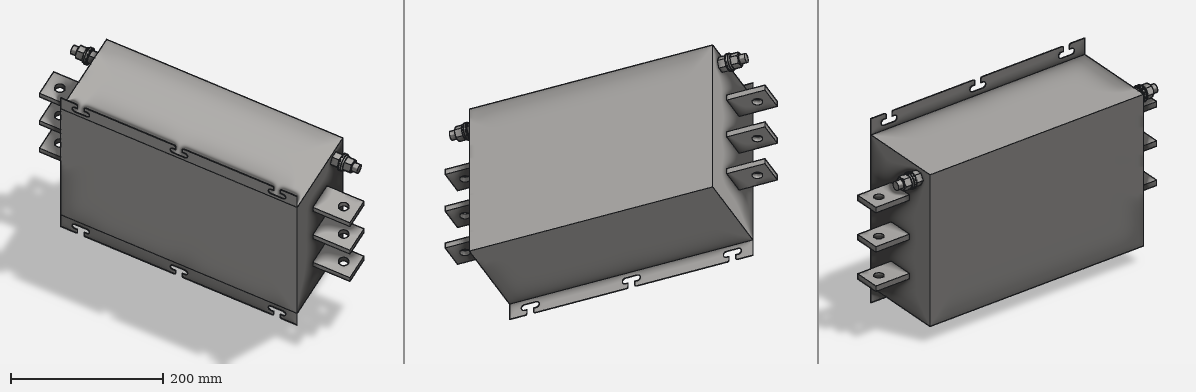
import cadquery as cq
import math

overall_length = 460.0
box_length = 350.0
box_depth = 130.0
box_height = 231.0
flange_height = 280.0
flange_thickness = 1.0
front_y = -box_depth / 2

slot_pitch = 145.5
slot_length = 25.8
slot_width = 9.0
slot_inset = 13.0
neck_width = 9.5
neck_mouth_radius = 2.8

bar_count = 3
bar_pitch = 60.0
bar_width = 40.0
bar_thickness = 8.5
bar_hole_diameter = 14.0
bar_hole_inset = 20.0

stud_y = 40.0
stud_z = 100.0
stud_diameter = 12.5
stud_reach = 37.3
nut_across_flats = 18.0
nut_face_diameter = 16.5
nut_chamfer_length = 1.5
inner_nut_end = 11.0
tooth_washer_end = 12.5
flat_washer_end = 15.0
flat_washer_diameter = 24.0
spring_washer_end = 18.0
spring_washer_diameter = 21.0
outer_nut_end = 29.0

tooth_count = 12
notch_width = 2.8
notch_depth = 2.0


def enclosure():
    """Box joined to its thin flange plate, flush with the front face."""
    box = cq.Workplane("XY").box(box_length, box_depth, box_height)
    plate = (
        cq.Workplane("XY")
        .box(box_length, flange_thickness, flange_height)
        .translate((0, front_y + flange_thickness / 2, 0))
    )
    return box.union(plate)


def mounting_slot():
    """Cutter for one top-edge slot: a round-ended slot and a neck with a rounded mouth at the edge."""
    edge_z = flange_height / 2
    slot_z = edge_z - slot_inset
    neck_half = neck_width / 2
    mouth_half = neck_half + neck_mouth_radius
    shoulder_z = edge_z - neck_mouth_radius
    plane = cq.Workplane("XZ", origin=(0, front_y + flange_thickness, 0))
    slot = plane.center(0, slot_z).slot2D(slot_length, slot_width).extrude(flange_thickness)
    neck = (
        plane.moveTo(-neck_half, slot_z)
        .lineTo(neck_half, slot_z)
        .lineTo(neck_half, shoulder_z)
        .radiusArc((mouth_half, edge_z), neck_mouth_radius)
        .lineTo(-mouth_half, edge_z)
        .radiusArc((-neck_half, shoulder_z), neck_mouth_radius)
        .close()
        .extrude(flange_thickness)
    )
    return slot.union(neck)


def mounting_slots():
    """Three slots along the top edge and their mirror images along the bottom edge."""
    top_slot = mounting_slot()
    cutters = cq.Workplane("XY")
    for column in (-1, 0, 1):
        cutters = cutters.union(top_slot.translate((column * slot_pitch, 0, 0)))
    return cutters.union(cutters.mirror("XY"))


def busbar(z):
    """Flat bar running through the box, drilled near both ends."""
    hole_x = overall_length / 2 - bar_hole_inset
    return (
        cq.Workplane("XY")
        .box(overall_length, bar_width, bar_thickness)
        .faces(">Z")
        .workplane()
        .pushPoints([(-hole_x, 0), (hole_x, 0)])
        .hole(bar_hole_diameter)
        .translate((0, 0, z))
    )


def disc(start, end, diameter):
    """Cylinder on the X axis between two distances from the origin."""
    return cq.Workplane("YZ", origin=(start, 0, 0)).circle(diameter / 2).extrude(end - start)


def hex_nut(start, end):
    """Hexagonal nut on the X axis, its outer end turned down to a cone."""
    corner_diameter = nut_across_flats / math.cos(math.radians(30))
    hexagon = cq.Workplane("YZ", origin=(start, 0, 0)).polygon(6, corner_diameter).extrude(end - start)
    chamfer_run = (corner_diameter - nut_face_diameter) / 2
    turned = disc(start, end, corner_diameter).faces(">X").chamfer(nut_chamfer_length, chamfer_run)
    return hexagon.intersect(turned)


def tooth_washer(start, end):
    """Lock washer with evenly spaced notches around its rim."""
    notches = (
        cq.Workplane("YZ", origin=(start, 0, 0))
        .polarArray(flat_washer_diameter / 2, 0, 360, tooth_count)
        .rect(2 * notch_depth, notch_width)
        .extrude(end - start)
    )
    return disc(start, end, flat_washer_diameter).cut(notches)


def earth_stud():
    """Stud along +X with a nut against the wall, three washers and a clamping nut."""
    rod = disc(0, stud_reach, stud_diameter)
    stack = (
        rod.union(hex_nut(0, inner_nut_end))
        .union(tooth_washer(inner_nut_end, tooth_washer_end))
        .union(disc(tooth_washer_end, flat_washer_end, flat_washer_diameter))
        .union(disc(flat_washer_end, spring_washer_end, spring_washer_diameter))
        .union(hex_nut(spring_washer_end, outer_nut_end))
    )
    return stack.translate((box_length / 2, stud_y, stud_z))


result = enclosure().cut(mounting_slots())
for index in range(bar_count):
    result = result.union(busbar((index - (bar_count - 1) / 2) * bar_pitch))
right_stud = earth_stud()
result = result.union(right_stud).union(right_stud.mirror("YZ"))